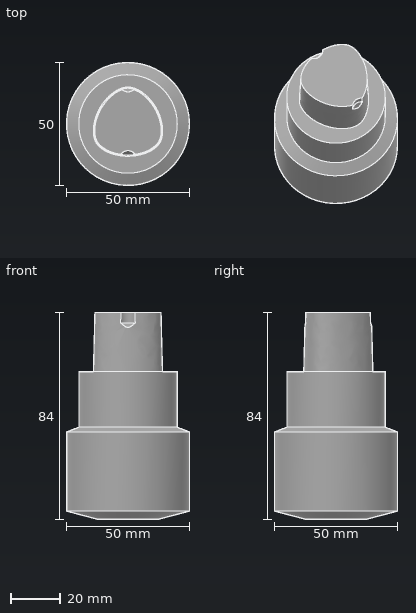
import cadquery as cq
import math

total_height = 84.0
shank_length = 24.0
neck_length = 22.5
shoulder_height = 1.9
bottom_bevel_height = 3.4
shank_base_z = total_height - shank_length
neck_base_z = shank_base_z - neck_length
body_top_z = neck_base_z - shoulder_height

body_radius = 50.0 / 2
neck_radius = 40.0 / 2
bottom_face_radius = 24.4 / 2

shank_base_radius = 14.07
shank_taper = 1 / 40
shank_top_radius = shank_base_radius - shank_length * shank_taper
lobe_offset = 0.9
outline_points = 60

notch_radius = 3.5
notch_straight_depth = 4.2
lobe_wall_y = 13.0
flat_wall_y = -10.8


def make_body():
    """Revolve the body, sloped shoulder and neck around Z."""
    return (
        cq.Workplane("XZ")
        .moveTo(0, 0)
        .lineTo(bottom_face_radius, 0)
        .lineTo(body_radius, bottom_bevel_height)
        .lineTo(body_radius, body_top_z)
        .lineTo(neck_radius, neck_base_z)
        .lineTo(neck_radius, shank_base_z)
        .lineTo(0, shank_base_z)
        .close()
        .revolve(360, (0, 0, 0), (0, 1, 0))
    )


def trilobe_point(mean_radius, angle):
    """Point of the lobed outline; angle 0 lies on the flat facing -Y."""
    along = (
        mean_radius * math.cos(angle)
        - 2 * lobe_offset * math.cos(2 * angle)
        + lobe_offset * math.cos(4 * angle)
    )
    across = (
        mean_radius * math.sin(angle)
        + 2 * lobe_offset * math.sin(2 * angle)
        + lobe_offset * math.sin(4 * angle)
    )
    return across, -along


def trilobe_outline(mean_radius):
    """Closed smooth outline, sampled from the lobe formula."""
    step = 2 * math.pi / outline_points
    return [trilobe_point(mean_radius, i * step) for i in range(outline_points)]


def make_shank():
    """Loft the lobed outline from the neck to the narrower top."""
    return (
        cq.Workplane("XY", origin=(0, 0, shank_base_z))
        .spline(trilobe_outline(shank_base_radius), periodic=True)
        .close()
        .workplane(offset=shank_length)
        .spline(trilobe_outline(shank_top_radius), periodic=True)
        .close()
        .loft(ruled=True, combine=True)
    )


def make_notch_cutter(axis_y):
    """Vertical drill shape whose tip cone starts below the straight wall."""
    wall_end_z = total_height - notch_straight_depth
    tip_height = notch_radius
    return (
        cq.Workplane("XZ", origin=(0, axis_y, 0))
        .moveTo(0, wall_end_z - tip_height)
        .lineTo(notch_radius, wall_end_z)
        .lineTo(notch_radius, total_height)
        .lineTo(0, total_height)
        .close()
        .revolve(360, (0, 0, 0), (0, 1, 0))
    )


result = make_body().union(make_shank())
for notch_axis_y in (lobe_wall_y + notch_radius, flat_wall_y - notch_radius):
    result = result.cut(make_notch_cutter(notch_axis_y))